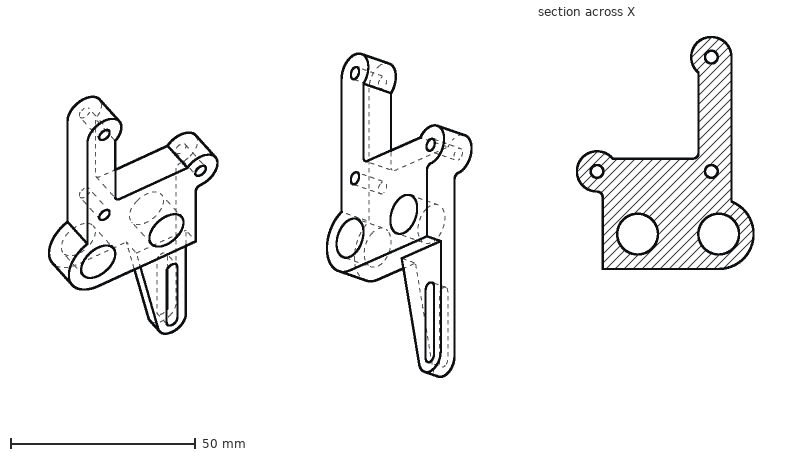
import cadquery as cq
import math

body_thickness = 10.0
leg_thickness = 5.0

bore_diameter = 11.0
bore_spacing = 22.0
boss_radius = 9.5

screw_diameter = 3.4
screw_pitch = 31.0
screw_corner_y = 2.0
screw_corner_z = 17.0
ear_radius = 5.5
edge_margin = 3.5
corner_fillet = 1.5

leg_tip_radius = 4.5
leg_root_width = 16.0
slot_width = 3.4
slot_travel = 20.0
slot_bottom_z = -42.0

inner_edge_y = bore_spacing + boss_radius
outer_edge_y = screw_corner_y - ear_radius
arm_inner_y = screw_corner_y + edge_margin
body_top_z = screw_corner_z + edge_margin
body_bottom_z = -boss_radius
side_ear = (screw_corner_y + screw_pitch, screw_corner_z)
top_ear = (screw_corner_y, screw_corner_z + screw_pitch)
screw_corner = (screw_corner_y, screw_corner_z)
leg_center_y = inner_edge_y - leg_tip_radius
leg_root_y = inner_edge_y - leg_root_width


def disc(center, radius, thickness):
    return cq.Workplane("YZ").center(*center).circle(radius).extrude(thickness)


def block(y_min, y_max, z_min, z_max):
    return (
        cq.Workplane("YZ")
        .moveTo(y_min, z_min)
        .lineTo(y_max, z_min)
        .lineTo(y_max, z_max)
        .lineTo(y_min, z_max)
        .close()
        .extrude(body_thickness)
    )


def make_body():
    """Plate and upright arm with round ears and the outer bore boss."""
    plate = block(0, inner_edge_y, body_bottom_z, body_top_z)
    arm = block(outer_edge_y, arm_inner_y, 0, top_ear[1])
    side_tab = block(screw_corner_y, side_ear[0], screw_corner_z, body_top_z)
    body = plate.union(arm).union(side_tab)
    body = body.union(disc((0, 0), boss_radius, body_thickness))
    for ear in (side_ear, top_ear):
        body = body.union(disc(ear, ear_radius, body_thickness))
    return body


def fillet_inner_corners(body):
    """Round the corner at the arm foot and the one below the side ear."""
    ear_meets_edge_z = side_ear[1] - math.sqrt(ear_radius**2 - (side_ear[0] - inner_edge_y) ** 2)
    mid_x = body_thickness / 2
    for y, z in ((arm_inner_y, body_top_z), (inner_edge_y, ear_meets_edge_z)):
        body = body.edges(cq.NearestToPointSelector((mid_x, y, z))).fillet(corner_fillet)
    return body


def make_leg():
    """Thin leg whose slanted side runs tangent into the rounded tip."""
    run_y = leg_root_y - leg_center_y
    run_z = body_bottom_z - slot_bottom_z
    root_angle = math.atan2(run_z, run_y)
    tangent_angle = root_angle + math.acos(leg_tip_radius / math.hypot(run_y, run_z))
    tangent_point = (
        leg_center_y + leg_tip_radius * math.cos(tangent_angle),
        slot_bottom_z + leg_tip_radius * math.sin(tangent_angle),
    )
    return (
        cq.Workplane("YZ")
        .moveTo(inner_edge_y, 0)
        .lineTo(inner_edge_y, slot_bottom_z)
        .threePointArc((leg_center_y, slot_bottom_z - leg_tip_radius), tangent_point)
        .lineTo(leg_root_y, body_bottom_z)
        .lineTo(leg_root_y, 0)
        .close()
        .extrude(leg_thickness)
    )


def make_slot():
    return (
        cq.Workplane("YZ")
        .center(leg_center_y, slot_bottom_z + slot_travel / 2)
        .slot2D(slot_travel + slot_width, slot_width, 90)
        .extrude(leg_thickness)
    )


result = fillet_inner_corners(make_body()).union(make_leg())
for bore in ((0, 0), (bore_spacing, 0)):
    result = result.cut(disc(bore, bore_diameter / 2, body_thickness))
for screw in (screw_corner, side_ear, top_ear):
    result = result.cut(disc(screw, screw_diameter / 2, body_thickness))
result = result.cut(make_slot())